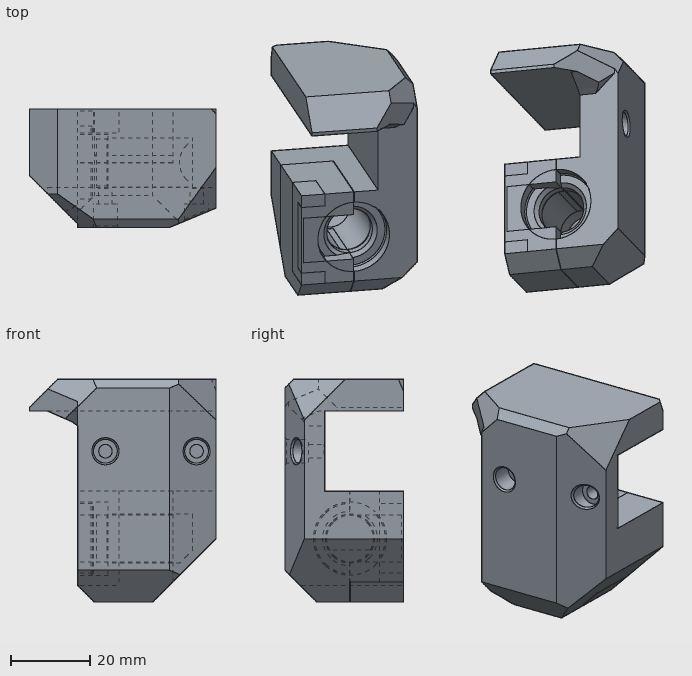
import cadquery as cq


width = 34.92
depth = 29.93
height = 56.26

lower_jaw_top = 28.06
rail_size = 20.16
rail_gap_top = lower_jaw_top + rail_size
back_wall = 10.1

top_bevel = 2.2
front_bottom_bevel = 8.08
left_bottom_bevel = 4.2
right_bottom_bevel = 16.0
side_taper_length = 11.76
side_taper_depth = 4.9
corner_facet_x = 9.42
corner_facet_y = 13.0
far_corner_cut_x = 1.2
far_corner_cut_y = 1.3
far_corner_cut_z = 3.0

hook_reach = 12.18
hook_lip = 0.9
hook_slope = height - rail_gap_top - hook_lip
gusset_start = 7.6
gusset_knee = (-1.4, 45.5)
gusset_foot = 44.5
hook_miter = 0.94
hook_facet_x = 8.9
hook_facet_y = 6.25
hook_facet_start = 3.85
hook_underside_bevel = 50.4

screw_xs = (7.0, 30.0)
screw_z = 38.1
screw_hole = 3.4
screw_head = 6.0
screw_head_floor = 5.9
screw_mouth = 0.43
screw_membrane = 0.3

seat_y = 16.29
seat_gap = 0.13
bore_y = seat_y + seat_gap
bore_z = 16.05
mouth_radius = 9.25
shoulder_radius = 8.9
cone_radius = 6.9
bore_radius = 5.9
mouth_depth = 3.35
shoulder_depth = 3.75
cone_end = 4.8
collar_end = 7.35
chamber_radius = 6.2
chamber_start = collar_end + chamber_radius - bore_radius
bore_end = 29.0
bore_slope_knee = 13.15

cap_length = 24.0
core_length = chamber_start
tail_length = 10.4
slot_width = 11.9
slot_depth = 12.95
ear_depth = 6.05
ear_height = 3.15
ear_y = depth - ear_depth
tail_start = 4.0


def block(x_range, y_range, z_range):
    """Box between the given limits."""
    size = [high - low for low, high in (x_range, y_range, z_range)]
    corner = cq.Vector(x_range[0], y_range[0], z_range[0])
    return cq.Workplane(cq.Solid.makeBox(*size, pnt=corner))


def xz_prism(points, y_range):
    """Outline in X and Z, extruded between two Y positions."""
    length = y_range[1] - y_range[0]
    return cq.Workplane("XZ", origin=(0, y_range[0], 0)).polyline(points).close().extrude(-length)


def beyond_plane(point, along, also_along):
    """Large block on the side of a plane that the normal along x also_along points to."""
    along = cq.Vector(*along)
    normal = along.cross(cq.Vector(*also_along))
    reach = 4 * height
    plane = cq.Plane(origin=point, xDir=along, normal=normal)
    return cq.Workplane(plane).rect(reach, reach).extrude(reach)


def body_outline():
    """Full-depth block with the bottom bevels on its -X and +X sides."""
    points = [
        (0, height),
        (0, left_bottom_bevel),
        (left_bottom_bevel, 0),
        (width - right_bottom_bevel, 0),
        (width, right_bottom_bevel),
        (width, height),
    ]
    return xz_prism(points, (0, depth))


def hook():
    """Overhanging nose with a mitred front side and a gusset below."""
    points = [
        (0, height),
        (hook_slope - hook_reach, height),
        (-hook_reach, rail_gap_top + hook_lip),
        (-hook_reach, rail_gap_top),
        (-gusset_start, rail_gap_top),
        gusset_knee,
        (0, gusset_foot),
    ]
    nose = xz_prism(points, (0, depth))
    nose = nose.cut(beyond_plane((0, hook_miter, 0), (1, -1, 0), (0, 0, 1)))
    return nose.cut(beyond_plane((0, 0, hook_underside_bevel), (0, 1, -1), (1, 0, 0)))


def bevel_housing(solid):
    """Cut the bevels of the front face and of the top corners."""
    solid = solid.cut(beyond_plane((0, top_bevel, height), (1, 0, 0), (0, 1, 1)))
    solid = solid.cut(beyond_plane((0, front_bottom_bevel, 0), (0, 1, -1), (1, 0, 0)))
    taper = (-side_taper_length, -side_taper_depth, 0)
    solid = solid.cut(beyond_plane((width, side_taper_depth, 0), (0, 0, 1), taper))
    corner = (width - corner_facet_x, top_bevel, height)
    solid = solid.cut(beyond_plane(corner, (corner_facet_x, corner_facet_y, 0), (0, 1, 1)))
    hook_corner = (hook_facet_start, top_bevel, height)
    solid = solid.cut(beyond_plane(hook_corner, (hook_facet_x, -hook_facet_y, 0), (1, 0, 1)))
    far_corner = (width, depth - far_corner_cut_y, height)
    down_the_side = (0, far_corner_cut_y, -far_corner_cut_z)
    across_the_top = (-far_corner_cut_x, far_corner_cut_y, 0)
    return solid.cut(beyond_plane(far_corner, down_the_side, across_the_top))


def screw_hole_cutter(x):
    """Clearance hole with a head pocket, running along Y."""
    pocket = cq.Workplane("XZ", origin=(x, 0, screw_z))
    shank = pocket.circle(screw_hole / 2).extrude(screw_membrane - back_wall)
    head = pocket.circle(screw_head / 2).extrude(-screw_head_floor)
    return shank.union(head)


def add_screw_holes(solid):
    """Cut the screw holes and chamfer their mouths on the front surfaces."""
    for x in screw_xs:
        solid = solid.cut(screw_hole_cutter(x))
        around_mouth = cq.selectors.BoxSelector(
            (x - screw_head, -screw_mouth, screw_z - screw_head),
            (x + screw_head, side_taper_depth, screw_z + screw_head),
        )
        solid = solid.edges("%CIRCLE or %ELLIPSE").edges(around_mouth).chamfer(screw_mouth)
    return solid


def bore():
    """Stepped bore that ends blind at a wall sloping like the +X bottom bevel."""
    profile = [
        (0, 0),
        (0, mouth_radius),
        (mouth_depth, mouth_radius),
        (shoulder_depth, shoulder_radius),
        (shoulder_depth, cone_radius),
        (cone_end, bore_radius),
        (collar_end, bore_radius),
        (chamber_start, chamber_radius),
        (bore_end, chamber_radius),
        (bore_end, 0),
    ]
    solid = cq.Workplane("XY").polyline(profile).close().revolve(360, (0, 0, 0), (1, 0, 0))
    solid = solid.translate((0, bore_y, bore_z))
    return solid.cut(beyond_plane((bore_end, 0, bore_slope_knee), (0, 1, 0), (1, 0, 1)))


def slot(length):
    """Straight slot from the bore axis toward +Y."""
    half = slot_width / 2
    return block((0, length), (bore_y, bore_y + slot_depth), (bore_z - half, bore_z + half))


def insert_envelope():
    """Space the insert takes up in the cap, with the bore still filled."""
    disc = cq.Workplane("YZ", origin=(0, bore_y, bore_z)).circle(mouth_radius).extrude(core_length)
    half_disc = disc.intersect(block((0, core_length), (bore_y, depth), (0, lower_jaw_top)))
    tail = block((tail_start, tail_length), (ear_y, depth), (left_bottom_bevel, lower_jaw_top))
    envelope = slot(core_length).union(half_disc).union(tail)
    for ear_bottom in (left_bottom_bevel, lower_jaw_top - ear_height):
        ear = block((0, tail_length), (ear_y, depth), (ear_bottom, ear_bottom + ear_height))
        envelope = envelope.union(ear)
    return envelope


def make_housing():
    """C-shaped housing with its hook, screw holes, cap seat and half of the bore."""
    solid = bevel_housing(body_outline().union(hook()))
    solid = solid.cut(block((-hook_reach, width), (back_wall, depth), (lower_jaw_top, rail_gap_top)))
    solid = solid.cut(block((0, cap_length), (seat_y, depth), (0, lower_jaw_top)))
    return add_screw_holes(solid).cut(bore())


def make_cap():
    """Block with a slotted passage that closes the bore from the +Y side."""
    space = block((0, cap_length), (bore_y, depth), (0, lower_jaw_top))
    return body_outline().intersect(space).cut(insert_envelope()).cut(bore().intersect(slot(cap_length)))


def make_insert():
    """Keeper let into the -X end of the cap, with a slotted passage in line with the bore."""
    return insert_envelope().cut(bore().intersect(slot(cap_length)))


housing = make_housing().solids()
cap = make_cap().solids()
insert = make_insert().solids()

result = cq.Compound.makeCompound([housing.val(), cap.val(), insert.val()])